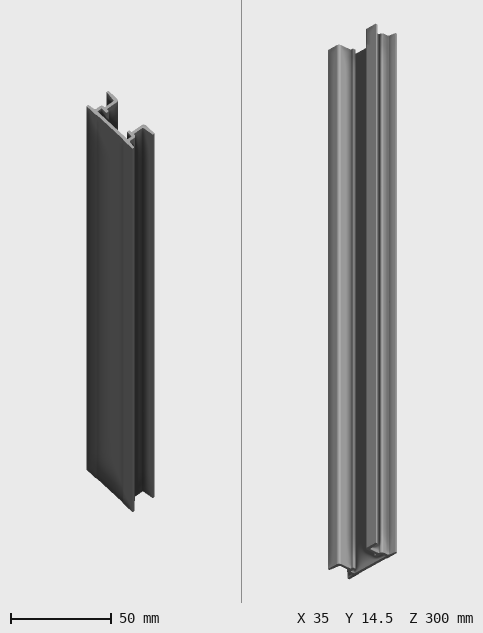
import cadquery as cq

width = 35.0
depth = 14.5
length = 300.0

half_width = width / 2
wall = 1.6

base_top = 2.0
recess_depth = 0.3
recess_half_width = 9.5
recess_slope_width = 1.0
pad_inner_edge = recess_half_width + recess_slope_width

upper_inner = 9.4
upper_outer = upper_inner + wall
lower_outer = 13.0
lower_inner = lower_outer - wall

tip_thickness = 1.2
taper_slope = 0.14

ledge_tip = 7.8
ledge_bottom = 4.7
shoulder = 6.4

root_radius = 0.7
shoulder_radius = 1.4
flange_radius = 1.6


def tapered_thickness(x):
    """Thickness of an overhanging edge at distance x from the middle plane."""
    return tip_thickness + taper_slope * (half_width - x)


def half_profile(side):
    """Solid on one side of the middle plane; side is +1 for +X and -1 for -X."""
    base_root = tapered_thickness(lower_outer)
    flange_root = depth - tapered_thickness(upper_outer)
    outline = [
        (0, recess_depth),
        (recess_half_width, recess_depth),
        (pad_inner_edge, 0),
        (half_width, 0),
        (half_width, tip_thickness),
        (lower_outer, base_root),
        (lower_outer, shoulder),
        (upper_outer, shoulder),
        (upper_outer, flange_root),
        (half_width, depth - tip_thickness),
        (half_width, depth),
        (upper_inner, depth),
        (upper_inner, shoulder),
        (ledge_tip, shoulder),
        (ledge_tip, ledge_bottom),
        (lower_inner, ledge_bottom),
        (lower_inner, base_top),
        (0, base_top),
    ]
    rounded_corners = [
        (lower_outer, base_root, root_radius),
        (lower_outer, shoulder, shoulder_radius),
        (upper_outer, flange_root, root_radius),
        (upper_inner, depth, flange_radius),
    ]
    points = [(side * x, y) for x, y in outline]
    body = cq.Workplane("XY").polyline(points).close().extrude(length)
    for x, y, radius in rounded_corners:
        corner = cq.selectors.NearestToPointSelector((side * x, y, length / 2))
        body = body.edges(corner).fillet(radius)
    return body


result = half_profile(1).union(half_profile(-1), clean=True)